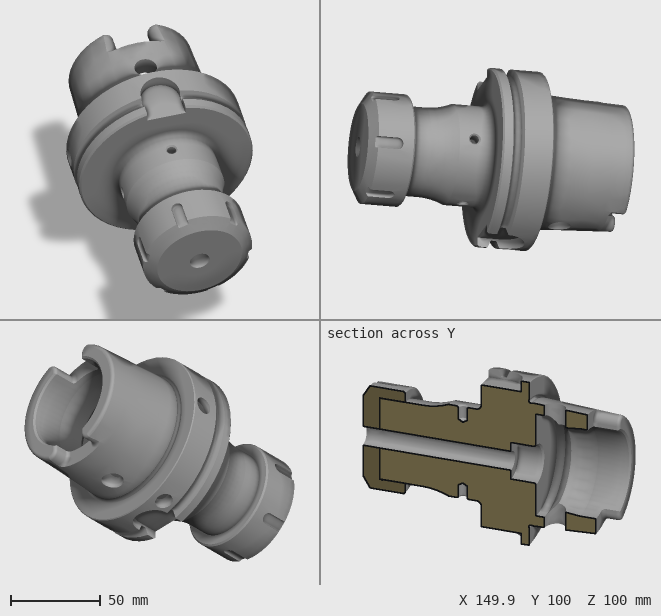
import cadquery as cq
import math


shank_length = 49.9
taper_reference_radius = 37.4
taper_reference_x = -10.0
taper_slope = 1 / (2 * 9.98)
taper_end_x = -2.9

undercut_start_x = -1.8
undercut_neck_x = -1.3
undercut_neck_radius = 37.5
undercut_depth = 0.3
undercut_fillet = 1.1
undercut_outer_radius = 39.5

flange_radius = 50.0
flange_width = 29.0
flange_front_chamfer = 0.5
flange_back_chamfer = 1.0
groove_center_x = 19.8
groove_floor_radius = 46.0
groove_floor_half_width = 1.6
groove_mouth_half_width = 3.3
groove_fillet = 1.0

neck_radius = 28.2
neck_end_x = 48.5
neck_root_fillet = 3.0
spigot_radius = 25.0
spigot_start_x = 63.9
spigot_end_x = 90.0

bore_radius = 26.6
bore_mouth_chamfer = 1.0
bore_cone_start_x = -30.4
bore_cone_end_x = -15.5
bore_waist_radius = 25.0
bore_waist_length = 0.6
bore_relief_radius = 31.0
bore_floor_x = -4.0
socket_radius = 11.05
socket_chamfer = 1.0
socket_depth = 15.0
through_hole_radius = 5.65

drive_slot_half_width = 10.0
drive_slot_flare_radius = 4.9
drive_slot_height = 32.0
upper_drive_slot_depth = 15.0
lower_drive_slot_depth = 10.0
drive_slot_floor_fillet = 2.0
shank_end_fillet = 1.9

keyway_half_width = 11.0
keyway_start_x = 5.0
keyway_floor_height = 43.5

cross_hole_radius = 6.25
cross_hole_x = -15.2
pocket_radius = 5.0
chip_pocket_x = 6.9
chip_pocket_depth = 4.5
lower_pocket_x = 8.9
lower_pocket_angle = 19.0
lower_pocket_depth = 8.0
screw_hole_x = 40.0
screw_hole_radius = 2.5
screw_hole_depth = 8.0
screw_hole_chamfer = 0.9
screw_hole_count = 4

nut_radius = 31.4
nut_start_x = 74.5
nut_end_x = 100.0
nut_rear_chamfer = 0.9
nut_cone_start_x = 95.7
nut_end_radius = 24.4
nut_slot_count = 6
nut_slot_angle = 13.3
nut_slot_start_x = 81.5
nut_slot_half_width = 3.2
nut_slot_floor_radius = 29.2
nut_slot_fillet = 1.0


def taper_radius(x):
    """Radius of the taper at the position x."""
    return taper_reference_radius + (x - taper_reference_x) * taper_slope


def revolve_about_x(profile):
    """Turn a closed (x, radius) profile about the X axis."""
    return profile.close().revolve(360, (0, 0, 0), (1, 0, 0))


def turned_cylinder(start_x, end_x, radius):
    """Cylinder on the X axis between two positions."""
    return cq.Workplane("YZ", origin=(start_x, 0, 0)).circle(radius).extrude(end_x - start_x)


def radial_cylinder(x, angle, radius, start_radius, end_radius):
    """Cylinder along a radius; the angle turns about +X from -Y (0) to -Z (90)."""
    cylinder = cq.Workplane("XZ", origin=(x, -start_radius, 0)).circle(radius)
    cylinder = cylinder.extrude(end_radius - start_radius)
    return cylinder.rotate((0, 0, 0), (1, 0, 0), angle)


def make_shank():
    end_x = -shank_length
    profile = (
        cq.Workplane("XZ")
        .moveTo(end_x, 0)
        .lineTo(end_x, taper_radius(end_x))
        .lineTo(taper_end_x, taper_radius(taper_end_x))
        .lineTo(undercut_start_x, taper_radius(taper_end_x))
        .lineTo(undercut_neck_x, undercut_neck_radius)
        .lineTo(undercut_depth - undercut_fillet, undercut_neck_radius)
        .radiusArc((undercut_depth, undercut_neck_radius + undercut_fillet), -undercut_fillet)
        .lineTo(undercut_depth, 0)
    )
    return revolve_about_x(profile)


def drive_slot_cutter(depth):
    """Slot toward +Z whose walls flare outward in an arc below the taper surface."""
    flare_start_z = drive_slot_height - drive_slot_flare_radius
    flare_end_y = drive_slot_half_width + drive_slot_flare_radius
    outer = flange_radius
    cutter = (
        cq.Workplane("YZ", origin=(-shank_length - depth, 0, 0))
        .moveTo(-drive_slot_half_width, 0)
        .lineTo(drive_slot_half_width, 0)
        .lineTo(drive_slot_half_width, flare_start_z)
        .radiusArc((flare_end_y, drive_slot_height), drive_slot_flare_radius)
        .lineTo(outer, drive_slot_height)
        .lineTo(outer, outer)
        .lineTo(-outer, outer)
        .lineTo(-outer, drive_slot_height)
        .lineTo(-flare_end_y, drive_slot_height)
        .radiusArc((-drive_slot_half_width, flare_start_z), drive_slot_flare_radius)
        .close()
        .extrude(2 * depth)
    )
    return cutter.faces(">X").edges().fillet(drive_slot_floor_fillet)


def cut_drive_slots(shank):
    lower_slot = drive_slot_cutter(lower_drive_slot_depth).rotate((0, 0, 0), (1, 0, 0), 180)
    shank = shank.cut(drive_slot_cutter(upper_drive_slot_depth)).cut(lower_slot)
    return shank.faces("<X").edges().fillet(shank_end_fillet)


def make_flange():
    profile = (
        cq.Workplane("XZ")
        .moveTo(undercut_depth, 0)
        .lineTo(undercut_depth, undercut_neck_radius + undercut_fillet)
        .lineTo(0, undercut_outer_radius)
        .lineTo(0, flange_radius - flange_front_chamfer)
        .lineTo(flange_front_chamfer, flange_radius)
        .lineTo(flange_width - flange_back_chamfer, flange_radius)
        .lineTo(flange_width, flange_radius - flange_back_chamfer)
        .lineTo(flange_width, 0)
    )
    return revolve_about_x(profile).cut(groove_cutter())


def groove_cutter():
    """Ring with a trapezoid section that cuts the gripper groove."""
    wall_slope = (groove_mouth_half_width - groove_floor_half_width) / (flange_radius - groove_floor_radius)
    top_radius = flange_radius + 1
    top_half_width = groove_mouth_half_width + wall_slope
    ring = revolve_about_x(
        cq.Workplane("XZ")
        .moveTo(groove_center_x - groove_floor_half_width, groove_floor_radius)
        .lineTo(groove_center_x + groove_floor_half_width, groove_floor_radius)
        .lineTo(groove_center_x + top_half_width, top_radius)
        .lineTo(groove_center_x - top_half_width, top_radius)
    )
    floor_circles = cq.selectors.RadiusNthSelector(0)
    return ring.edges(floor_circles).fillet(groove_fillet)


def make_neck():
    root_x = flange_width + neck_root_fillet
    root_radius = neck_radius + neck_root_fillet
    step = neck_radius - spigot_radius
    run = spigot_start_x - neck_end_x
    transition_radius = (run**2 + step**2) / (2 * step)
    profile = (
        cq.Workplane("XZ")
        .moveTo(flange_width, 0)
        .lineTo(flange_width, root_radius)
        .radiusArc((root_x, neck_radius), -neck_root_fillet)
        .lineTo(neck_end_x, neck_radius)
        .radiusArc((spigot_start_x, spigot_radius), -transition_radius)
        .lineTo(spigot_end_x, spigot_radius)
        .lineTo(spigot_end_x, 0)
    )
    return revolve_about_x(profile)


def bore_cutter():
    """Stepped bore from the shank end through to the spigot end."""
    mouth_x = -shank_length
    relief_start_x = bore_cone_end_x + bore_waist_length
    socket_end_x = bore_floor_x + socket_depth
    profile = (
        cq.Workplane("XZ")
        .moveTo(mouth_x, 0)
        .lineTo(mouth_x, bore_radius + bore_mouth_chamfer)
        .lineTo(mouth_x + bore_mouth_chamfer, bore_radius)
        .lineTo(bore_cone_start_x, bore_radius)
        .lineTo(bore_cone_end_x, bore_waist_radius)
        .lineTo(relief_start_x, bore_waist_radius)
        .lineTo(relief_start_x + bore_relief_radius - bore_waist_radius, bore_relief_radius)
        .lineTo(bore_floor_x, bore_relief_radius)
        .lineTo(bore_floor_x, socket_radius + socket_chamfer)
        .lineTo(bore_floor_x + socket_chamfer, socket_radius)
        .lineTo(socket_end_x, socket_radius)
        .lineTo(socket_end_x, through_hole_radius)
        .lineTo(spigot_end_x, through_hole_radius)
        .lineTo(spigot_end_x, 0)
    )
    return revolve_about_x(profile)


def keyway_cutter():
    """Keyway toward +Z with a round end, open at the back of the flange."""
    center_x = keyway_start_x + keyway_half_width
    return (
        cq.Workplane("XY", origin=(0, 0, keyway_floor_height))
        .moveTo(flange_width, keyway_half_width)
        .lineTo(center_x, keyway_half_width)
        .threePointArc((keyway_start_x, 0), (center_x, -keyway_half_width))
        .lineTo(flange_width, -keyway_half_width)
        .close()
        .extrude(flange_radius - keyway_floor_height)
    )


def cut_keyways(body):
    for angle in (0, 180):
        body = body.cut(keyway_cutter().rotate((0, 0, 0), (1, 0, 0), angle))
    return body


def cut_flange_pockets(body):
    chip_floor = flange_radius - chip_pocket_depth
    chip_pocket = radial_cylinder(chip_pocket_x, 0, pocket_radius, chip_floor, flange_radius)
    lower_floor = flange_radius - lower_pocket_depth
    lower_pocket = radial_cylinder(
        lower_pocket_x, 90 - lower_pocket_angle, pocket_radius, lower_floor, flange_radius
    )
    return body.cut(chip_pocket).cut(lower_pocket)


def screw_hole_cutter():
    """Blind hole toward -Y with a drill point and a chamfered mouth."""
    floor = neck_radius - screw_hole_depth
    point = floor - screw_hole_radius * math.tan(math.radians(30))
    mouth = screw_hole_radius + screw_hole_chamfer
    return (
        cq.Workplane("XY", origin=(screw_hole_x, 0, 0))
        .moveTo(0, -point)
        .lineTo(screw_hole_radius, -floor)
        .lineTo(screw_hole_radius, screw_hole_chamfer - neck_radius)
        .lineTo(mouth, -neck_radius)
        .lineTo(0, -neck_radius)
        .close()
        .revolve(360, (0, 0, 0), (0, 1, 0))
    )


def cut_screw_holes(body):
    for index in range(screw_hole_count):
        angle = index * 360 / screw_hole_count
        body = body.cut(screw_hole_cutter().rotate((0, 0, 0), (1, 0, 0), angle))
    return body


def make_holder():
    body = cut_drive_slots(make_shank()).union(make_flange()).union(make_neck())
    body = body.cut(bore_cutter())
    body = body.cut(radial_cylinder(cross_hole_x, 90, cross_hole_radius, -flange_radius, flange_radius))
    body = cut_keyways(body)
    body = cut_flange_pockets(body)
    return cut_screw_holes(body)


def nut_slot_cutter():
    """Spanner slot toward -Y with a round end and a filleted floor."""
    straight_start_x = nut_slot_start_x + nut_slot_half_width
    cutter = (
        cq.Workplane("XZ", origin=(0, -nut_slot_floor_radius, 0))
        .moveTo(nut_end_x, nut_slot_half_width)
        .lineTo(straight_start_x, nut_slot_half_width)
        .threePointArc((nut_slot_start_x, 0), (straight_start_x, -nut_slot_half_width))
        .lineTo(nut_end_x, -nut_slot_half_width)
        .close()
        .extrude(nut_radius - nut_slot_floor_radius)
    )
    return cutter.faces(">Y").edges("not >X").fillet(nut_slot_fillet)


def make_nut():
    profile = (
        cq.Workplane("XZ")
        .moveTo(nut_start_x, 0)
        .lineTo(nut_start_x, nut_radius - nut_rear_chamfer)
        .lineTo(nut_start_x + nut_rear_chamfer, nut_radius)
        .lineTo(nut_cone_start_x, nut_radius)
        .lineTo(nut_end_x, nut_end_radius)
        .lineTo(nut_end_x, 0)
    )
    body = revolve_about_x(profile)
    body = body.cut(turned_cylinder(nut_start_x, spigot_end_x, spigot_radius))
    body = body.cut(turned_cylinder(spigot_end_x, nut_end_x, through_hole_radius))
    for index in range(nut_slot_count):
        angle = index * 360 / nut_slot_count - nut_slot_angle
        body = body.cut(nut_slot_cutter().rotate((0, 0, 0), (1, 0, 0), angle))
    return body


holder = make_holder()
nut = make_nut()
result = cq.Compound.makeCompound([holder.val(), nut.val()])